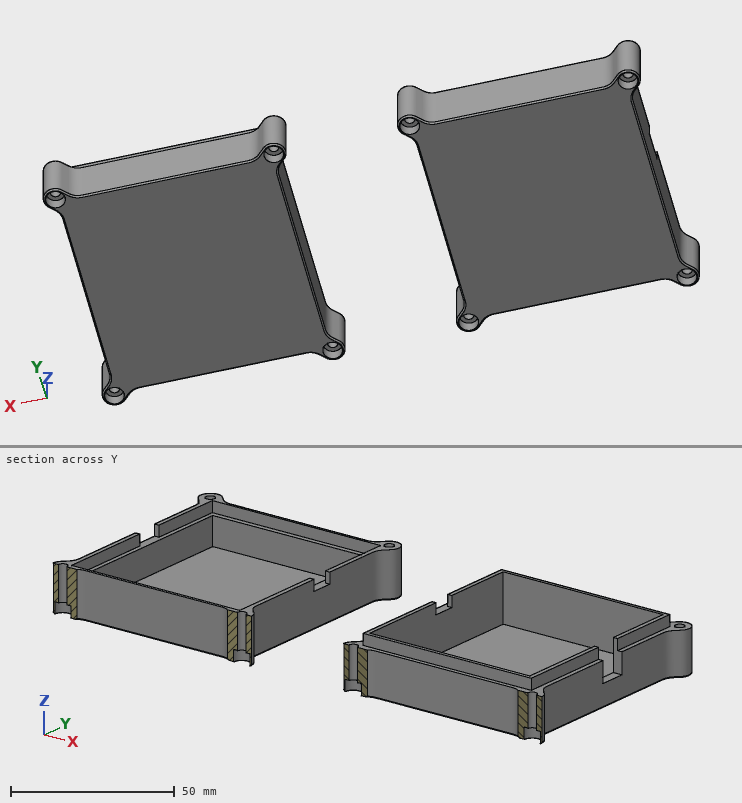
import cadquery as cq
import math

overall_x = 187.8
overall_y = 81.9
overall_z = 19.5
half_spacing = 111.5
box_x = 68.0
box_y = 73.0
cavity_x = 61.5
cavity_y = 67.2
floor_thickness = 2.5
bottom_chamfer = 0.5

post_radius = 3.8
neck_fillet = 5.0
screw_hole_diameter = 3.2
screw_head_diameter = 6.0
screw_head_depth = 4.0
post_x = (overall_x - half_spacing) / 2 - post_radius
post_y = overall_y / 2 - post_radius

base_height = 16.5
rebate_x = 64.6
rebate_y = 71.0
rebate_depth = 4.0

lid_height = 15.5
lip_x = 64.6
lip_y = 69.9

notch_y = 3.8
narrow_notch_width = 7.9
wide_notch_width = 9.5
lid_notch_floor = 8.0


def block(size_x, size_y, bottom, top):
    """Rectangular block centred on the Z axis between two heights."""
    return cq.Workplane("XY").workplane(offset=bottom).rect(size_x, size_y).extrude(top - bottom)


def corner_post(sign_x, sign_y, height):
    """Round post with a neck whose 45 degree flanks run tangentially into the box walls."""
    tangent = post_radius * math.sqrt(0.5)
    reach = 2 * post_radius
    neck = [
        (tangent, -tangent),
        (tangent - reach, -tangent - reach),
        (-tangent - reach, tangent - reach),
        (-tangent, tangent),
    ]
    corner = cq.Workplane("XY").center(sign_x * post_x, sign_y * post_y)
    flanks = corner.polyline([(sign_x * u, sign_y * v) for u, v in neck]).close().extrude(height)
    return corner.circle(post_radius).extrude(height).union(flanks)


def neck_roots():
    """Points on the box walls where the neck flanks of all four posts meet them."""
    flank_offset = post_radius * math.sqrt(2)
    root_x = post_x - flank_offset - (post_y - box_y / 2)
    root_y = post_y - flank_offset - (post_x - box_x / 2)
    points = []
    for sign_x in (-1, 1):
        for sign_y in (-1, 1):
            points.append((sign_x * root_x, sign_y * box_y / 2))
            points.append((sign_x * box_x / 2, sign_y * root_y))
    return points


def outer_block(height):
    """Solid box with four corner posts, rounded neck roots and a chamfered bottom edge."""
    body = block(box_x, box_y, 0, height)
    for sign_x in (-1, 1):
        for sign_y in (-1, 1):
            body = body.union(corner_post(sign_x, sign_y, height))
    root_edges = cq.Workplane("XY")
    for x, y in neck_roots():
        nearest = cq.selectors.NearestToPointSelector((x, y, height / 2))
        root_edges = root_edges.add(body.edges("|Z").edges(nearest))
    body = body.newObject(root_edges.vals()).fillet(neck_fillet)
    return body.faces("<Z").chamfer(bottom_chamfer)


def cut_screw_holes(body):
    """Through hole in every post, widened from below for the screw head."""
    posts = cq.Workplane("XY").rect(2 * post_x, 2 * post_y, forConstruction=True).vertices()
    holes = posts.circle(screw_hole_diameter / 2).extrude(overall_z)
    heads = posts.circle(screw_head_diameter / 2).extrude(screw_head_depth)
    return body.cut(holes).cut(heads)


def notch(side, width, floor):
    """Cutter that opens one wall (side -1 or +1 along X) from a floor height upwards."""
    wall_zone = box_x / 2
    cutter = block(wall_zone, width, floor, overall_z)
    return cutter.translate((side * wall_zone, notch_y, 0))


def make_base():
    """Tray with a rebate around its rim and a notch in both X walls."""
    rebate_floor = base_height - rebate_depth
    body = outer_block(base_height)
    body = body.cut(block(cavity_x, cavity_y, floor_thickness, base_height))
    body = body.cut(block(rebate_x, rebate_y, rebate_floor, base_height))
    body = body.cut(notch(-1, wide_notch_width, rebate_floor))
    body = body.cut(notch(1, narrow_notch_width, rebate_floor))
    return cut_screw_holes(body)


def make_lid():
    """Tray with a raised lip, notched down to the rim at -X and deep into the wall at +X."""
    body = outer_block(lid_height).union(block(lip_x, lip_y, floor_thickness, overall_z))
    body = body.cut(block(cavity_x, cavity_y, floor_thickness, overall_z))
    body = body.cut(notch(-1, narrow_notch_width, lid_height))
    body = body.cut(notch(1, wide_notch_width, lid_notch_floor))
    return cut_screw_holes(body)


base = make_base().translate((-half_spacing / 2, 0, 0))
lid = make_lid().translate((half_spacing / 2, 0, 0))

result = cq.Compound.makeCompound([base.val(), lid.val()])